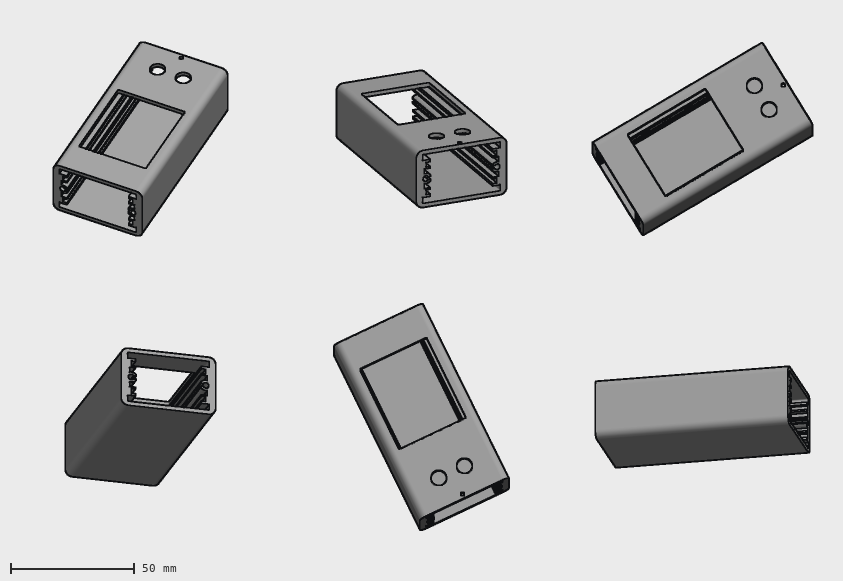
import cadquery as cq
import math

width = 40.0
length = 80.0
height = 25.0
corner_radius = 3.0
top_wall = 1.8
side_wall = 2.8
inner_corner_radius = 0.5

rib_tip_depth = 6.2
outer_rib_top = 8.1
outer_rib_bottom = 7.0
outer_groove_depth = 4.3
inner_rib_top = 5.0
inner_rib_bottom = 4.2
inner_groove_depth = 3.6

channel_depth = 4.2
channel_radius = 1.2
channel_slit = 1.3
boss_half_height = 2.2
boss_round_depth = 4.6
boss_tip_depth = 6.4

window_width = 30.0
window_length = 36.8
window_center_y = -8.0
window_corner_radius = 0.5
button_diameter = 6.3
button_spacing = 11.5
button_y = 28.0
pinhole_diameter = 1.5
pinhole_y = 38.2


def extrude_along_tube(sketch):
    """Extrude an XZ sketch over the full length, centred on Y."""
    return sketch.extrude(length / 2, both=True)


def side_block(inner_depth, outer_depth, bottom, top):
    """Full-length bar beside the left wall, between two depths and two levels."""
    sketch = cq.Workplane("XZ").center(
        -width / 2 + (inner_depth + outer_depth) / 2, (bottom + top) / 2
    ).rect(inner_depth - outer_depth, top - bottom)
    return extrude_along_tube(sketch)


def make_tube():
    outside = cq.Workplane("XY").box(width, length, height).edges("|Y").fillet(corner_radius)
    cavity = cq.Workplane("XY").box(width - 2 * side_wall, length, height - 2 * top_wall)
    return outside.cut(cavity.edges("|Y").fillet(inner_corner_radius))


def make_screw_boss():
    """Boss with a rounded nose cut flat at its tip, without its bore."""
    tip_reach = boss_tip_depth - boss_round_depth
    tip_half_height = math.sqrt(boss_half_height**2 - tip_reach**2)
    mid_arc_angle = math.atan2(tip_half_height, tip_reach) / 2 + math.pi / 4
    mid_reach = boss_half_height * math.cos(mid_arc_angle)
    mid_level = boss_half_height * math.sin(mid_arc_angle)
    wall_x = -width / 2 + side_wall / 2
    round_x = -width / 2 + boss_round_depth
    sketch = (
        cq.Workplane("XZ")
        .moveTo(wall_x, -boss_half_height)
        .lineTo(round_x, -boss_half_height)
        .threePointArc((round_x + mid_reach, -mid_level), (round_x + tip_reach, -tip_half_height))
        .lineTo(round_x + tip_reach, tip_half_height)
        .threePointArc((round_x + mid_reach, mid_level), (round_x, boss_half_height))
        .lineTo(wall_x, boss_half_height)
        .close()
    )
    return extrude_along_tube(sketch)


def make_left_guides():
    embedded_depth = side_wall / 2
    guides = side_block(inner_groove_depth, embedded_depth, -outer_rib_top, outer_rib_top)
    guides = guides.union(make_screw_boss())
    for bottom, top, depth in (
        (inner_rib_bottom, outer_rib_top, outer_groove_depth),
        (inner_rib_bottom, inner_rib_top, rib_tip_depth),
        (outer_rib_bottom, outer_rib_top, rib_tip_depth),
    ):
        upper_block = side_block(depth, embedded_depth, bottom, top)
        guides = guides.union(upper_block).union(upper_block.mirror("XY"))
    return guides


def make_left_channel():
    bore = cq.Workplane("XZ").center(-width / 2 + channel_depth, 0).circle(channel_radius)
    slit = side_block(boss_tip_depth, channel_depth, -channel_slit / 2, channel_slit / 2)
    return extrude_along_tube(bore).union(slit)


def make_top_openings():
    """Cutters reaching from the outer top face into the cavity."""
    cut_depth = 2 * top_wall
    top_plane = cq.Workplane("XY").workplane(offset=height / 2 - top_wall)
    window = top_plane.center(0, window_center_y).rect(window_width, window_length).extrude(cut_depth)
    buttons = (
        top_plane.pushPoints([(-button_spacing / 2, button_y), (button_spacing / 2, button_y)])
        .circle(button_diameter / 2)
        .extrude(cut_depth)
    )
    pinhole = top_plane.center(0, pinhole_y).circle(pinhole_diameter / 2).extrude(cut_depth)
    return window.edges("|Z").fillet(window_corner_radius).union(buttons).union(pinhole)


left_guides = make_left_guides()
left_channel = make_left_channel()
result = make_tube().union(left_guides).union(left_guides.mirror("YZ"))
result = result.cut(left_channel).cut(left_channel.mirror("YZ"))
result = result.cut(make_top_openings())